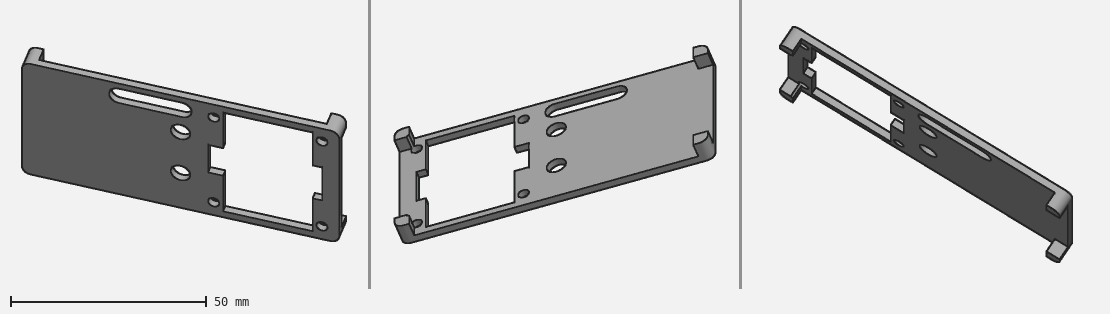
import cadquery as cq

length = 85.0
height = 40.5
depth = 6.0
plate_thickness = 2.0
corner_radius = 2.5
post_size = 4.0

window_left = 11.4
window_right = 35.4
window_height = 36.0
left_notch_depth = 4.0
left_notch_height = 10.0
right_notch_depth = 2.55
right_notch_height = 12.0

screw_diameter = 3.0
screw_spacing_x = 29.0
screw_spacing_z = 31.0
screw_center_x = 23.4
button_diameter = 5.2
button_spacing = 15.0
slot_length = 22.1
slot_height = 5.2
slot_x = -8.1
slot_z = 15.7


def box(x_min, x_max, box_height):
    """Box centred on Z = 0 that starts at the front face."""
    width = x_max - x_min
    return (
        cq.Workplane("XY")
        .box(width, depth, box_height, centered=(False, False, True))
        .translate((x_min, 0, 0))
    )


def through(sketch):
    """Extrude an XZ sketch from the front face to the full depth."""
    return sketch.extrude(-depth)


def make_body():
    """Rounded plate with a short post behind each corner."""
    block = box(-length / 2, length / 2, height).edges("|Y").fillet(corner_radius)
    long_band = box(-length / 2, length / 2, height - 2 * post_size)
    post_inner_x = length / 2 - post_size
    tall_band = box(-post_inner_x, post_inner_x, height)
    clearance = long_band.union(tall_band).translate((0, plate_thickness, 0))
    return block.cut(clearance)


def make_window():
    """Rectangular window joined with its two side notches."""
    middle = (window_left + window_right) / 2
    opening = box(window_left, window_right, window_height)
    left_notch = box(window_left - left_notch_depth, middle, left_notch_height)
    right_notch = box(middle, window_right + right_notch_depth, right_notch_height)
    return opening.union(left_notch).union(right_notch)


def make_screw_holes():
    sketch = (
        cq.Workplane("XZ")
        .center(screw_center_x, 0)
        .rarray(screw_spacing_x, screw_spacing_z, 2, 2)
        .circle(screw_diameter / 2)
    )
    return through(sketch)


def make_button_holes():
    sketch = cq.Workplane("XZ").rarray(0.85, button_spacing, 1, 2).circle(button_diameter / 2)
    return through(sketch)


def make_slot():
    sketch = cq.Workplane("XZ").center(slot_x, slot_z).slot2D(slot_length, slot_height)
    return through(sketch)


result = (
    make_body()
    .cut(make_window())
    .cut(make_screw_holes())
    .cut(make_button_holes())
    .cut(make_slot())
)